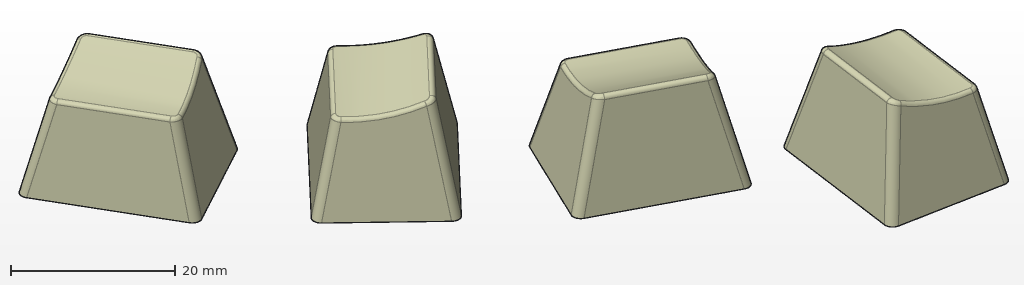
import cadquery as cq
import math

width = 23.05
depth = 18.3

side_draft = 14.0
front_draft = 11.0
back_draft = 11.5

dish_lowest_y = -4.57
dish_lowest_height = 13.0
dish_radius = 24.45

corner_radius = 1.27
rim_radius = 0.6

blank_height = 18.45


def draft_prism(plane, base_length, low_draft, high_draft, run_length):
    """Trapezoid of blank height, extruded both ways; the drafts lean its two ends inward."""
    base_half = base_length / 2
    low_inset = blank_height * math.tan(math.radians(low_draft))
    high_inset = blank_height * math.tan(math.radians(high_draft))
    outline = [
        (-base_half, 0),
        (base_half, 0),
        (base_half - high_inset, blank_height),
        (-base_half + low_inset, blank_height),
    ]
    return cq.Workplane(plane).polyline(outline).close().extrude(run_length / 2, both=True)


def tapered_blank():
    """Body with four leaning walls and rounded corners, taller than the finished part."""
    side_walls = draft_prism("XZ", width, side_draft, side_draft, depth)
    end_walls = draft_prism("YZ", depth, front_draft, back_draft, width)
    blank = side_walls.intersect(end_walls)
    slanted_corners = blank.edges("not(#Z or |X or |Y)")
    return slanted_corners.fillet(corner_radius)


def dish_cylinder():
    """Cylinder along X that scoops the concave fingertip surface."""
    axis_height = dish_lowest_height + dish_radius
    return (
        cq.Workplane("YZ")
        .center(dish_lowest_y, axis_height)
        .circle(dish_radius)
        .extrude(width / 2, both=True)
    )


body = tapered_blank().cut(dish_cylinder())

dish_face = body.faces("%CYLINDER").faces(">Z")
result = dish_face.edges().fillet(rim_radius)